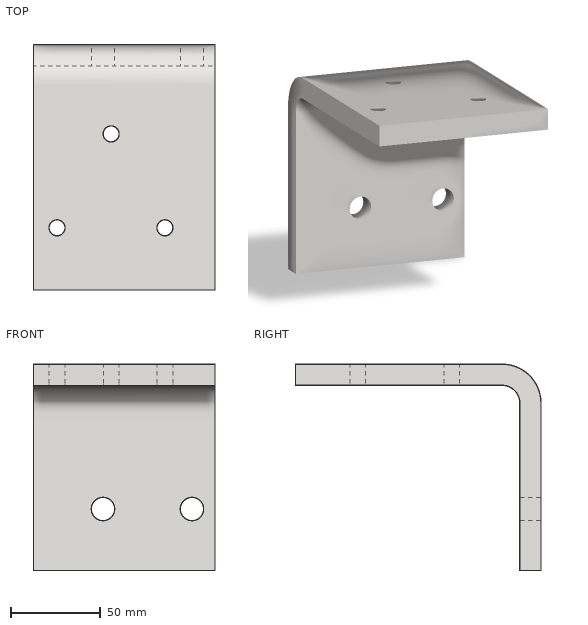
import cadquery as cq

width = 102.0
depth = 138.0
height = 116.0

thickness = 12.0
inner_radius = 10.0
outer_radius = inner_radius + thickness

wall_hole_diameter = 13.0
wall_hole_spacing = 50.0
wall_hole_left = 39.0
wall_hole_height = 34.6
wall_holes = [
    (wall_hole_left, wall_hole_height),
    (wall_hole_left + wall_hole_spacing, wall_hole_height),
]

shelf_hole_diameter = 8.8
shelf_front_row = 35.0
shelf_back_row = 87.8
shelf_holes = [
    (13.2, shelf_front_row),
    (73.8, shelf_front_row),
    (43.6, shelf_back_row),
]


def bent_plate():
    """L-shaped plate: solid corner block minus the inside, with concentric bend radii."""
    outer = cq.Workplane("XY").box(width, depth, height, centered=False)
    outer = outer.edges("|X and >Y and >Z").fillet(outer_radius)
    inside = cq.Workplane("XY").box(width, depth - thickness, height - thickness, centered=False)
    inside = inside.edges("|X and >Y and >Z").fillet(inner_radius)
    return outer.cut(inside)


def wall_hole_cutters():
    """Cylinders along Y through the vertical leg."""
    plane = cq.Workplane("XZ", origin=(0, depth, 0))
    return plane.pushPoints(wall_holes).circle(wall_hole_diameter / 2).extrude(thickness)


def shelf_hole_cutters():
    """Cylinders along Z through the horizontal leg."""
    plane = cq.Workplane("XY", origin=(0, 0, height))
    return plane.pushPoints(shelf_holes).circle(shelf_hole_diameter / 2).extrude(-thickness)


result = bent_plate().cut(wall_hole_cutters()).cut(shelf_hole_cutters())